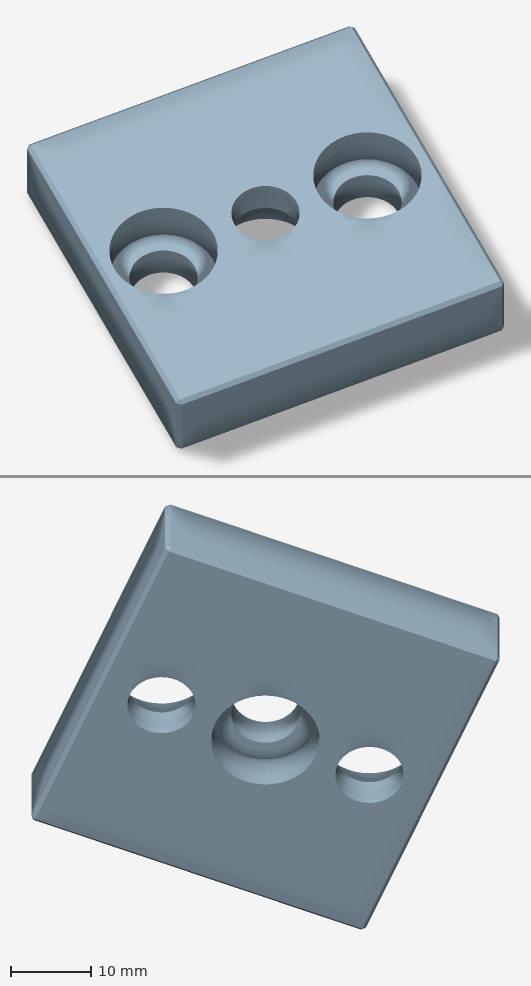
import cadquery as cq

side = 45.0
thickness = 10.0
edge_chamfer = 0.5

hole_diameter = 8.5
counterbore_diameter = 13.5
counterbore_depth = 5.5
outer_hole_spacing = 28.0


def make_plate():
    """Square plate standing on Z = 0, with every edge chamfered."""
    plate = cq.Workplane("XY").box(side, side, thickness, centered=(True, True, False))
    return plate.edges().chamfer(edge_chamfer)


def cut_screw_hole(body, y, bore_from_top):
    """Through hole at (0, y), counterbored from the top or from the bottom face."""
    bore_floor = thickness - counterbore_depth if bore_from_top else 0.0
    hole = cq.Workplane("XY").center(0, y).circle(hole_diameter / 2).extrude(thickness)
    counterbore = (
        cq.Workplane("XY", origin=(0, y, bore_floor))
        .circle(counterbore_diameter / 2)
        .extrude(counterbore_depth)
    )
    return body.cut(hole).cut(counterbore)


result = make_plate()

for hole_y in (-outer_hole_spacing / 2, outer_hole_spacing / 2):
    result = cut_screw_hole(result, hole_y, bore_from_top=True)
result = cut_screw_hole(result, 0.0, bore_from_top=False)